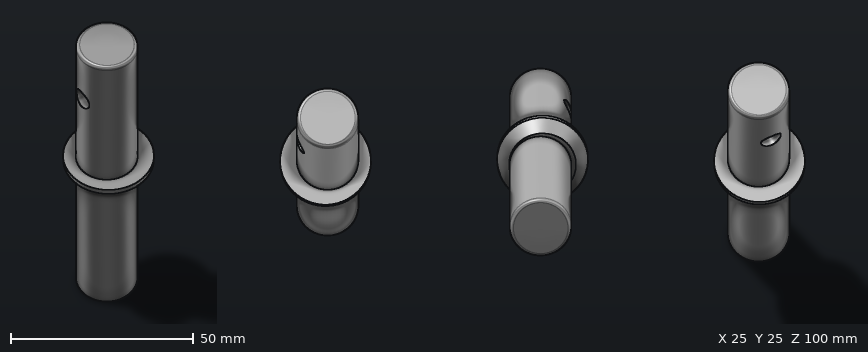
import cadquery as cq

pin_length = 100.0
pin_diameter = 17.0
pin_offset_y = -0.6
end_fillet = 1.0

collar_diameter = 25.0
collar_height = 5.0
collar_chamfer = 3.3
collar_bottom = (pin_length - collar_height) / 2

cross_hole_diameter = 6.0
cross_hole_from_top = 17.5


def make_pin():
    pin = cq.Workplane("XY").center(0, pin_offset_y).circle(pin_diameter / 2).extrude(pin_length)
    return pin.faces("<Z or >Z").edges().fillet(end_fillet)


def make_collar():
    collar = (
        cq.Workplane("XY")
        .workplane(offset=collar_bottom)
        .circle(collar_diameter / 2)
        .extrude(collar_height)
    )
    return collar.faces("<Z").edges().chamfer(collar_chamfer)


def make_cross_hole():
    return (
        cq.Workplane("XZ")
        .center(0, pin_length - cross_hole_from_top)
        .circle(cross_hole_diameter / 2)
        .extrude(pin_diameter, both=True)
    )


result = make_pin().union(make_collar()).cut(make_cross_hole())